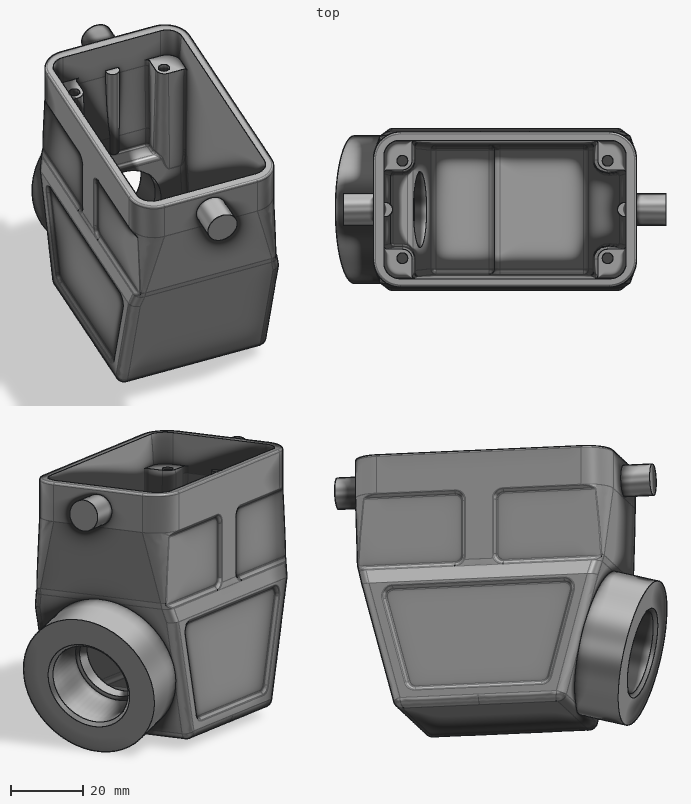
import cadquery as cq
import math


rim_length = 73.0
rim_width = 43.0
rim_corner_radius = 7.5
rim_edge_radius = 0.6
band_bottom_z = -11.0
waist_top_z = -30.9
waist_bottom_z = -32.7
flare_bottom_z = -36.6
base_z = -71.9
waist_top_length = 70.0
waist_bottom_length = 69.0
waist_bottom_width = 43.2
body_width = 45.0
body_edge_radius = 2.5
end_wall_angle = 15.0
end_wall_slope = math.tan(math.radians(end_wall_angle))

pin_diameter = 8.8
pin_span = 89.4
pin_z = -6.1
pin_root_x = 35.0

entry_face_x = -41.75
entry_face_z = -55.08
entry_diameter = 41.0
entry_length = 14.0
bore_diameter = 23.5
bore_depth = 14.5
bore_chamfer = 1.0
through_diameter = 21.0
through_depth = 22.0

cavity_half_length = 33.6
cavity_corner_radius = 4.5
cavity_half_width = 19.2
floor_half_width = 17.9
cavity_fillet = 1.5
end_wall_foot_x = 31.7
end_wall_foot_z = -32.0
right_floor_z = -65.0
left_floor_z = -68.3
floor_step_x = -2.9
ledge_z = -38.0
ledge_edge_x = -25.7
entry_wall_slope = math.tan(math.radians(10))
right_floor_x = end_wall_foot_x - (end_wall_foot_z - right_floor_z) * end_wall_slope
left_floor_x = ledge_edge_x + (ledge_z - left_floor_z) * entry_wall_slope

pillar_top_z = -9.0
pillar_inner_x = 25.75
pillar_inner_y = 11.0
pillar_edge_radius = 2.7
pillar_root_radius = 1.0
pillar_side_root_radius = 0.7
half_space_size = (200, 100, 200)
pillar_bottom_z = -60.0
pillar_overlap = 3.0
screw_x = 28.45
screw_y = 13.5
screw_diameter = 3.0
screw_depth = 12.0
pillar_draft = 1.5
rib_x = 33.2
rib_radius = 2.0

panel_depth = 1.0
panel_taper = 45.0
panel_corner_radius = 1.9
panel_edge_radius = 0.5
panel_rim_radius = 0.4
panel_overshoot = 1.0
window_inner_x = 4.95
window_outer_x = 40.0
window_top_z = -12.2
window_bottom_z = -31.4
plate_top_z = -38.5
plate_bottom_z = -66.3
plate_top_half = 26.8
plate_bottom_half = plate_top_half - (plate_top_z - plate_bottom_z) * end_wall_slope


def section(z, length, width, radius):
    """Rounded rectangle wire, level at height z and centred on the Z axis."""
    face = cq.Workplane("XY").rect(length, width).extrude(1).edges("|Z").fillet(radius)
    return face.faces("<Z").wires().val().moved(cq.Location(cq.Vector(0, 0, z)))


def ruled_loft(*sections):
    return cq.Workplane(cq.Solid.makeLoft(list(sections), True))


def slanted_length(z):
    """Body length at height z below the waist."""
    return waist_bottom_length - 2 * (waist_bottom_z - z) * end_wall_slope


def box_around(x, y, z, length, width, height):
    """Selector for the edges whose centres lie in a box centred on (x, y, z)."""
    low = (x - length / 2, y - width / 2, z - height / 2)
    high = (x + length / 2, y + width / 2, z + height / 2)
    return cq.selectors.BoxSelector(low, high)


def make_outer_body():
    rim = section(0, rim_length, rim_width, rim_corner_radius)
    band = section(band_bottom_z, rim_length, rim_width, rim_corner_radius)
    waist_top = section(waist_top_z, waist_top_length, rim_width, body_edge_radius)
    waist_bottom = section(waist_bottom_z, waist_bottom_length, waist_bottom_width, body_edge_radius)
    flare = section(flare_bottom_z, slanted_length(flare_bottom_z), body_width, body_edge_radius)
    base = section(base_z, slanted_length(base_z), body_width, body_edge_radius)
    upper = ruled_loft(rim, band).faces(">Z").edges().fillet(rim_edge_radius)
    lower = ruled_loft(flare, base).faces("<Z").edges().fillet(body_edge_radius)
    middle = ruled_loft(band, waist_top).union(ruled_loft(waist_top, waist_bottom))
    middle = middle.union(ruled_loft(waist_bottom, flare))
    return upper.union(middle).union(lower)


def rounded_panel(outline, floor_y):
    """Cutter for a -Y side panel: flat floor at floor_y, walls flaring outward."""
    blank = cq.Workplane("XZ", origin=(0, floor_y, 0)).polyline(outline).close().extrude(1)
    wire = blank.edges("|Y").fillet(panel_corner_radius).faces(">Y").wires().val()
    height = panel_depth + panel_overshoot
    flared = cq.Workplane("XZ", origin=(0, floor_y, 0)).add(wire).toPending()
    flared = flared.extrude(height, taper=-panel_taper)
    return flared.faces(">Y").edges().fillet(panel_edge_radius)


def make_panels():
    window = [
        (window_inner_x, window_top_z),
        (window_outer_x, window_top_z),
        (window_outer_x, window_bottom_z),
        (window_inner_x, window_bottom_z),
    ]
    plate = [
        (-plate_top_half, plate_top_z),
        (plate_top_half, plate_top_z),
        (plate_bottom_half, plate_bottom_z),
        (-plate_bottom_half, plate_bottom_z),
    ]
    right_window = rounded_panel(window, panel_depth - rim_width / 2)
    windows = right_window.union(right_window.mirror("YZ"))
    panels = windows.union(rounded_panel(plate, panel_depth - body_width / 2))
    return panels.union(panels.mirror("XZ"))


def round_panel_edges(body):
    """Round the outer edges of the panels on one quarter of the body, then mirror it."""
    quarter_space = cq.Workplane("XY").box(*half_space_size, centered=(True, False, True))
    quarter_space = quarter_space.intersect(quarter_space.rotate((0, 0, 0), (0, 0, 1), 90))
    quarter_space = quarter_space.rotate((0, 0, 0), (0, 0, 1), 90)
    window = box_around(-17.5, -21.575, -21.85, 29, 0.25, 21.5)
    plate = box_around(0, -22.5, -52.5, 58, 0.2, 31)
    rounded = body.edges(plate).fillet(panel_rim_radius)
    rounded = rounded.edges(window).fillet(panel_rim_radius)
    quarter = rounded.intersect(quarter_space)
    half = quarter.union(quarter.mirror("YZ"))
    return half.union(half.mirror("XZ"))


def make_pins():
    pins = cq.Workplane("YZ", origin=(-pin_span / 2, 0, pin_z)).circle(pin_diameter / 2)
    pins = pins.extrude(pin_span / 2 - pin_root_x)
    return pins.union(pins.mirror("YZ"))


def entry_plane():
    """Plane on the outer face of the cable entry, its normal pointing into the hood."""
    angle = math.radians(end_wall_angle)
    normal = (math.cos(angle), 0, math.sin(angle))
    return cq.Plane(origin=(entry_face_x, 0, entry_face_z), xDir=(0, 1, 0), normal=normal)


def make_entry_boss():
    return cq.Workplane(entry_plane()).circle(entry_diameter / 2).extrude(entry_length)


def make_entry_bore():
    bore = cq.Workplane(entry_plane()).circle(bore_diameter / 2).extrude(bore_depth)
    through = cq.Workplane(entry_plane()).circle(through_diameter / 2).extrude(through_depth)
    mouth = cq.Solid.makeCone(
        bore_diameter / 2 + bore_chamfer,
        bore_diameter / 2,
        bore_chamfer,
        entry_plane().origin,
        entry_plane().zDir,
    )
    return bore.union(through).union(cq.Workplane(mouth))


def make_cavity():
    profile = [
        (-cavity_half_length, 0),
        (cavity_half_length, 0),
        (cavity_half_length, band_bottom_z),
        (end_wall_foot_x, end_wall_foot_z),
        (right_floor_x, right_floor_z),
        (floor_step_x, right_floor_z),
        (floor_step_x, left_floor_z),
        (left_floor_x, left_floor_z),
        (ledge_edge_x, ledge_z),
        (-end_wall_foot_x, ledge_z),
        (-end_wall_foot_x, end_wall_foot_z),
        (-cavity_half_length, band_bottom_z),
    ]
    lengthwise = cq.Workplane("XZ").polyline(profile).close().extrude(cavity_half_width, both=True)
    bends = lengthwise.edges("|Y").edges(cq.selectors.BoxSelector((-28, -9, -70), (25, 9, -35)))
    lengthwise = bends.fillet(cavity_fillet)
    crosswise_outline = [
        (-cavity_half_width, 0),
        (cavity_half_width, 0),
        (floor_half_width, left_floor_z),
        (-floor_half_width, left_floor_z),
    ]
    crosswise = cq.Workplane("YZ").polyline(crosswise_outline).close()
    crosswise = crosswise.extrude(cavity_half_length, both=True)
    cavity = lengthwise.intersect(crosswise)
    floor_level = cavity.edges(cq.selectors.BoxSelector((-21, -20, -69), (25, 20, -64.9)))
    cavity = floor_level.edges("|X").fillet(cavity_fillet)

    mouth = cq.Workplane("XY").rect(2 * cavity_half_length, 2 * cavity_half_width)
    mouth = mouth.extrude(left_floor_z).edges("|Z").fillet(cavity_corner_radius)
    pillars = make_pillars()
    cavity = cavity.intersect(mouth).cut(pillars)
    return round_pillar_roots(cavity)


def round_pillar_roots(cavity):
    """Fillet the pillars into the end walls and the ledge, then into the long walls, on both sides."""
    half_space = cq.Workplane("XY").box(*half_space_size, centered=(True, False, True))
    half = cavity.intersect(half_space)
    for side in (-1, 1):
        root = box_around(side * 32.5, 10.4, -23.5, 3.0, 1.8, 28)
        half = half.edges(root).fillet(pillar_root_radius)
    for side in (-1, 1):
        root = box_around(side * 25, 18.55, -22.25, 2, 1.1, 25.5)
        half = half.edges(root).fillet(pillar_side_root_radius)
    return half.union(half.mirror("XZ"))


def make_pillars():
    """Four screw pillars that fill the cavity corners, and a half-round rib on each end wall."""
    reach_x = cavity_half_length + pillar_overlap - pillar_inner_x
    reach_y = cavity_half_width + pillar_overlap - pillar_inner_y
    height = pillar_top_z - pillar_bottom_z
    blank = cq.Workplane("XY", origin=(0, 0, pillar_top_z)).rect(reach_x, reach_y).extrude(height)
    blank = blank.edges("|Z").fillet(pillar_edge_radius)
    blank = blank.translate((pillar_inner_x + reach_x / 2, pillar_inner_y + reach_y / 2, 0))
    outline = blank.faces("<Z").wires().val()
    pillar = cq.Workplane("XY", origin=(0, 0, pillar_top_z)).add(outline).toPending()
    pillar = pillar.extrude(-height, taper=-pillar_draft)
    rib = cq.Workplane("XY", origin=(rib_x, 0, pillar_bottom_z)).circle(rib_radius).extrude(height)
    pair = pillar.union(pillar.mirror("XZ")).union(rib)
    return pair.union(pair.mirror("YZ"))


def make_screw_holes():
    holes = cq.Workplane("XY", origin=(0, 0, pillar_top_z))
    holes = holes.rect(2 * screw_x, 2 * screw_y, forConstruction=True).vertices()
    return holes.circle(screw_diameter / 2).extrude(-screw_depth)


body = make_outer_body().cut(make_panels())
body = round_panel_edges(body)
body = body.union(make_pins()).union(make_entry_boss())
body = body.cut(make_cavity()).cut(make_entry_bore()).cut(make_screw_holes())
result = body